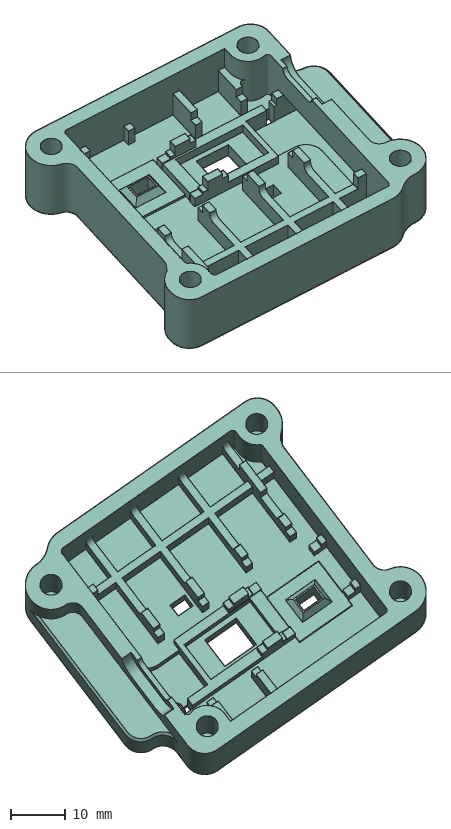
import cadquery as cq
import math

width = 51.0
length = 60.7
height = 13.95
wall = 3.0
bottom_chamfer = 0.5
body_front = 5.75
body_back = 53.8
left_corner_radius = 4.0
right_corner_radius = 4.05

boss_radius = 4.75
hole_diameter = 4.0
hole_bottom = 3.0
inner_boss_radius = 4.0
inner_corner_radius = 0.7
front_left_blend = 2.55
front_right_blend = 3.9
back_blend = 2.25
side_blend = 5.0
boss_front_left = (boss_radius, boss_radius)
boss_front_right = (width - boss_radius, 7.15)
boss_back_right = (43.6, length - boss_radius)
boss_back_left = (boss_radius, 48.7)

ledge_height = 7.9
ledge_left = 10.4
ledge_corner = 3.65
ledge_blend = 3.3
ledge_chamfer = 0.5
ledge_skin = 1.8
floor_corner_radius = 3.65

pocket_floor = 1.0
floor = 3.0
panel_top = 3.5
frame_top = 5.0
collar_top = 5.0
post_top = 5.2
step_top = 5.75
rib_top = 6.8
hook_top = 8.0
shelf_top = 8.8
front_shelf_drop = 0.35
stop_top = 9.8

cavity_setback = 0.1
inner_left = wall
inner_right = width - wall
inner_front = body_front + wall
inner_back = body_back - wall - cavity_setback

rib_width = 1.45
front_rib_rows = [12.2, 22.2]
back_rib_rows = [33.2, 43.3]
cross_rib_x = 38.7
long_tip = 25.55
short_tip = 27.0
tip_step = 1.4
shelf_end = 30.75
root_radius = 1.3
left_shelf_end = 8.75
left_tip_end = 10.25
front_stop_left = 36.2
front_stop_right = 42.85
back_stop_depth = 1.9
web_radius = 0.7

bar_width = 1.65
left_bar = 11.7
right_bar = 22.25
frame_front = 23.7
frame_back = 42.35
back_post_depth = 1.5
post_steps = [
    (23.6, 25.5, post_top),
    (25.5, 26.5, step_top),
    (26.5, 29.85, hook_top),
    (29.85, 31.1, rib_top),
    (inner_front, 9.9, rib_top),
    (9.9, 11.6, post_top),
]

frame_opening = (13.8, 22.1, 26.35, 41.3)
large_window = (14.8, 21.05, 30.2, 37.4)
small_window = (27.65, 30.2, 35.25, 38.6)
bar_window = (left_bar, left_bar + bar_width, 46.95, 48.6)

button_pad = (10.4, 20.9, 11.6, 23.6)
button_center = (15.7, 17.6)
collar_base = (5.35, 6.75)
collar_rim = (3.2, 4.85)
button_hole = (2.6, 4.2)

slot_left = 14.55
slot_right = 21.05
recess_floor_y = 51.7
recess_radius = 3.4
slot_radius = 1.45


def block(x0, x1, y0, y1, z0, z1):
    """Box between pairs of X, Y and Z limits."""
    return cq.Workplane("XY").box(x1 - x0, y1 - y0, z1 - z0, centered=False).translate((x0, y0, z0))


def toward(start, target, distance):
    """Point at a distance from start in the direction of target."""
    span = math.dist(start, target)
    return tuple(s + (t - s) * distance / span for s, t in zip(start, target))


def arc_middle(center, start, end):
    """Middle of the short arc from start to end about center."""
    chord_middle = ((start[0] + end[0]) / 2, (start[1] + end[1]) / 2)
    return toward(center, chord_middle, math.dist(center, start))


def edge_blend(boss, radius, edge_y, outward, side, blend):
    """Center of a concave arc touching a boss and the straight edge at edge_y."""
    center_y = edge_y + outward * blend
    reach = math.sqrt((radius + blend) ** 2 - (center_y - boss[1]) ** 2)
    return (boss[0] + side * reach, center_y)


def circle_blend(first, second, radius, blend):
    """Center of a concave arc touching two equal circles, on the right of first to second."""
    middle = ((first[0] + second[0]) / 2, (first[1] + second[1]) / 2)
    gap = math.dist(first, second)
    reach = math.sqrt((radius + blend) ** 2 - (gap / 2) ** 2)
    return (
        middle[0] + reach * (second[1] - first[1]) / gap,
        middle[1] - reach * (second[0] - first[0]) / gap,
    )


def make_body():
    """Solid case with three outside bosses blended into its walls."""
    r = boss_radius
    fl, fr, br = boss_front_left, boss_front_right, boss_back_right
    fl_blend = edge_blend(fl, r, body_front, -1, 1, front_left_blend)
    fr_blend = edge_blend(fr, r, body_front, -1, -1, front_right_blend)
    br_blend = edge_blend(br, r, body_back, 1, -1, back_blend)
    corner = (width - r, body_back - r)
    right_blend = circle_blend(corner, br, r, side_blend)

    fl_end = toward(fl, fl_blend, r)
    front_start = (fl_blend[0], body_front)
    front_end = (fr_blend[0], body_front)
    fr_start = toward(fr, fr_blend, r)
    fr_end = (fr[0], fr[1] - r)
    right_center = (width - right_corner_radius, fr_end[1] + right_corner_radius)
    right_start = (right_center[0], fr_end[1])
    right_end = (width, right_center[1])
    corner_end = toward(corner, right_blend, r)
    br_start = toward(br, right_blend, r)
    br_end = toward(br, br_blend, r)
    back_start = (br_blend[0], body_back)
    left_end = (0, body_back - left_corner_radius)
    back_end = (left_corner_radius, body_back)
    left_center = (left_corner_radius, body_back - left_corner_radius)

    return (
        cq.Workplane("XY")
        .moveTo(0, fl[1])
        .threePointArc((fl[0], fl[1] - r), fl_end)
        .threePointArc(arc_middle(fl_blend, fl_end, front_start), front_start)
        .lineTo(*front_end)
        .threePointArc(arc_middle(fr_blend, front_end, fr_start), fr_start)
        .threePointArc(arc_middle(fr, fr_start, fr_end), fr_end)
        .lineTo(*right_start)
        .threePointArc(arc_middle(right_center, right_start, right_end), right_end)
        .lineTo(width, corner[1])
        .threePointArc(arc_middle(corner, (width, corner[1]), corner_end), corner_end)
        .threePointArc(arc_middle(right_blend, corner_end, br_start), br_start)
        .threePointArc((br[0], br[1] + r), br_end)
        .threePointArc(arc_middle(br_blend, br_end, back_start), back_start)
        .lineTo(*back_end)
        .threePointArc(arc_middle(left_center, back_end, left_end), left_end)
        .close()
        .extrude(height)
    )


def make_ledge():
    """Low ledge between the back wall and the back right boss."""
    corner = (ledge_left + ledge_corner, length - ledge_corner)
    blend = edge_blend(corner, ledge_corner, body_back, 1, -1, ledge_blend)
    wall_point = (blend[0], body_back)
    corner_start = toward(corner, blend, ledge_corner)
    corner_end = (corner[0], length)
    right = boss_back_right[0]
    return (
        cq.Workplane("XY")
        .moveTo(blend[0], inner_back)
        .lineTo(*wall_point)
        .threePointArc(arc_middle(blend, wall_point, corner_start), corner_start)
        .threePointArc(arc_middle(corner, corner_start, corner_end), corner_end)
        .lineTo(right, length)
        .lineTo(right, inner_back)
        .close()
        .extrude(ledge_height)
        .faces(">Z")
        .chamfer(ledge_chamfer)
    )


def make_cavity():
    """Open inside of the case, leaving material around the two inner bosses."""
    depth = height - floor
    r = inner_boss_radius
    cavity = block(inner_left, inner_right, inner_front, inner_back, floor, height)
    pads = cq.Workplane("XY").workplane(offset=floor).pushPoints([boss_back_left, boss_front_right])
    cavity = cavity.cut(pads.circle(r).extrude(depth))
    bx, by = boss_back_left
    fx, fy = boss_front_right
    cavity = cavity.cut(block(0, bx, by - r, by, floor, height))
    cavity = cavity.cut(block(fx, width, fy, fy + r, floor, height))
    back_left_meet = bx + math.sqrt(r ** 2 - (inner_back - by) ** 2)
    front_right_meet = fx - math.sqrt(r ** 2 - (inner_front - fy) ** 2)
    corners = [
        (inner_left, inner_front),
        (inner_right, inner_back),
        (inner_right, fy + r),
        (back_left_meet, inner_back),
        (front_right_meet, inner_front),
    ]
    for x, y in corners:
        edge = cq.selectors.NearestToPointSelector((x, y, (floor + height) / 2))
        cavity = cavity.edges(edge).fillet(inner_corner_radius)
    return cavity


def make_pocket():
    """Deep pocket behind the frame, running under the back wall into the ledge."""
    left = left_bar + bar_width
    back = length - ledge_skin
    pocket = block(left, cross_rib_x, frame_back, back, pocket_floor, floor)
    raised = block(right_bar, cross_rib_x, frame_back, inner_back, pocket_floor, floor)
    raised = raised.edges("|Z and <X and >Y").fillet(floor_corner_radius)
    tunnel = block(left, cross_rib_x, inner_back, back, floor, rib_top)
    return pocket.cut(raised).union(tunnel)


def make_connector_slot():
    """Stepped round-ended notch in the rim of the back wall."""
    slot_middle = (slot_left + slot_right) / 2

    def stadium(radius, y0, y1):
        return (
            cq.Workplane("XZ", origin=(slot_middle, y1, height))
            .slot2D(slot_right - slot_left + 2 * radius, 2 * radius)
            .extrude(y1 - y0)
        )

    recess = stadium(recess_radius, recess_floor_y, body_back)
    return recess.union(stadium(slot_radius, inner_back, recess_floor_y))


def right_rib(x_start, x_shelf, y, drop):
    """Rib from the right wall with a shelf, a low tip and rounded roots; drop lowers shelf and tip."""
    r = root_radius
    diagonal = r * (1 - math.sqrt(0.5))
    return (
        cq.Workplane("XZ", origin=(0, y + rib_width, 0))
        .moveTo(x_start, floor)
        .lineTo(x_start, rib_top - drop)
        .lineTo(x_shelf, rib_top - drop)
        .lineTo(x_shelf, shelf_top - drop)
        .lineTo(shelf_end, shelf_top - drop)
        .lineTo(shelf_end, rib_top + r)
        .threePointArc((shelf_end + diagonal, rib_top + diagonal), (shelf_end + r, rib_top))
        .lineTo(inner_right - r, rib_top)
        .threePointArc((inner_right - diagonal, rib_top + diagonal), (inner_right, rib_top + r))
        .lineTo(inner_right, floor)
        .close()
        .extrude(rib_width)
    )


def make_ribs():
    """Grid of ribs on the right and short ribs on the left wall."""
    cross_right = cross_rib_x + rib_width
    ribs = block(cross_rib_x, cross_right, inner_front, inner_back, floor, rib_top)
    stop_front = inner_back - back_stop_depth
    ribs = ribs.union(block(cross_rib_x, cross_right, stop_front, inner_back, floor, stop_top))
    for front in front_rib_rows + back_rib_rows:
        back = front + rib_width
        if front in back_rib_rows:
            ribs = ribs.union(right_rib(long_tip, long_tip + tip_step, front, 0))
            ribs = ribs.union(block(inner_left, left_shelf_end, front, back, floor, shelf_top))
            ribs = ribs.union(block(inner_left, left_tip_end, front, back, floor, rib_top))
        else:
            ribs = ribs.union(right_rib(short_tip, short_tip + tip_step, front, front_shelf_drop))
            ribs = ribs.union(block(inner_left, inner_left + rib_width, front, back, floor, rib_top))
    front_row = front_rib_rows[0]
    return ribs.union(
        block(front_stop_left, front_stop_right, front_row, front_row + rib_width, floor, stop_top)
    )


def make_boss_web():
    """Small rounded web joining the back left boss to the rib in front of it."""
    rib_edge = back_rib_rows[-1] + rib_width
    center = edge_blend(boss_back_left, inner_boss_radius, rib_edge, 1, 1, web_radius)
    touch = toward(boss_back_left, center, inner_boss_radius)
    web = block(boss_back_left[0], center[0], rib_edge, touch[1], floor, shelf_top)
    round_cut = cq.Workplane("XY", origin=(*center, floor)).circle(web_radius).extrude(shelf_top - floor)
    return web.cut(round_cut)


def make_frame():
    """Raised frame around the large window, with stepped posts on its two side bars."""
    left_bar_end = left_bar + bar_width
    frame = block(left_bar, right_bar + bar_width, frame_front, frame_back, floor, frame_top)
    frame = frame.union(block(left_bar, left_bar_end, frame_back, inner_back, floor, frame_top))
    frame = frame.cut(block(*frame_opening, floor, frame_top))
    back_post_front = inner_back - back_post_depth
    frame = frame.union(block(left_bar, left_bar_end, back_post_front, inner_back, floor, rib_top))
    for x in (left_bar, right_bar):
        for front, back, top in post_steps:
            frame = frame.union(block(x, x + bar_width, front, back, floor, top))
    return frame


def make_button_panel():
    """Raised pad in front of the frame, with a sloped collar around the button opening."""
    collar = (
        cq.Workplane("XY", origin=(*button_center, panel_top))
        .rect(*collar_base)
        .workplane(offset=collar_top - panel_top)
        .rect(*collar_rim)
        .loft()
    )
    return block(*button_pad, floor, panel_top).union(collar)


def make_button_opening():
    """Straight opening through the collar and the floor."""
    return cq.Workplane("XY", origin=(*button_center, 0)).rect(*button_hole).extrude(collar_top)


def make_windows():
    """Rectangular openings through the floor."""
    windows = block(*large_window, 0, frame_top)
    for limits in (small_window, bar_window):
        windows = windows.union(block(*limits, 0, frame_top))
    return windows


def make_screw_holes():
    """Blind holes in the four bosses."""
    return (
        cq.Workplane("XY", origin=(0, 0, hole_bottom))
        .pushPoints([boss_front_left, boss_front_right, boss_back_left, boss_back_right])
        .circle(hole_diameter / 2)
        .extrude(height - hole_bottom)
    )


result = make_body().union(make_ledge())
result = result.faces("<Z").chamfer(bottom_chamfer)
result = result.cut(make_cavity()).cut(make_pocket())
result = result.union(make_ribs()).union(make_boss_web()).union(make_frame()).union(make_button_panel())
result = result.cut(make_button_opening()).cut(make_windows())
result = result.cut(make_connector_slot()).cut(make_screw_holes())